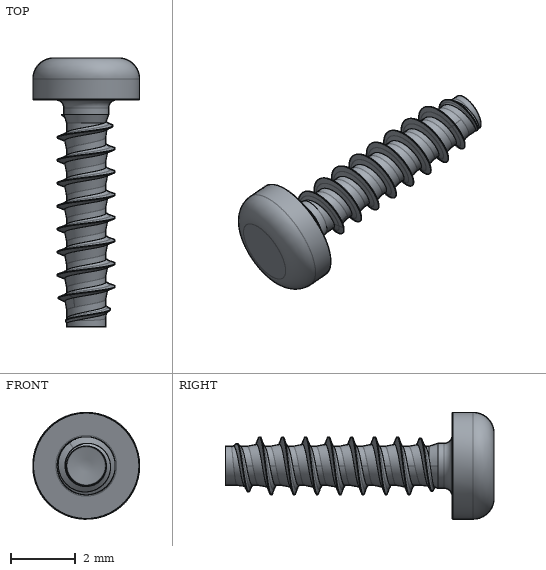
import cadquery as cq
import math


total_length = 8.3
head_height = 1.3
head_radius = 1.65
crown_radius = 0.655
rim_chamfer = 0.025

neck_radius = 0.7
neck_fillet = 0.24
neck_end = 0.44
core_radius = 0.61
core_start = 0.71
tip_dimple_depth = 0.08
tip_dimple_radius = 0.59
shaft_length = total_length - head_height

first_crest_depth = neck_end
turns_to_tip = 9.25
pitch = (shaft_length - first_crest_depth) / turns_to_tip
lead_in_turns = 0.5
lead_in_height = 0.55
full_height_from = 1.0
runout_turns = 1.4
points_per_turn = 24
buried_radius = 0.58
base_radius = 0.5

crest_radius = 0.9
crest_half_width = 0.0125
ridge_section = [
    (-0.14, 0.6),
    (-0.062, 0.74),
    (-crest_half_width, crest_radius),
    (crest_half_width, crest_radius),
    (0.1, 0.66),
    (0.43, 0.6),
]


def make_body():
    """Head, neck and core as one revolved outline of (radius, Y)."""
    slant = math.sqrt(0.5)
    crown_start = head_height - crown_radius
    crown_flat = head_radius - crown_radius
    crown_mid = (crown_flat + crown_radius * slant, crown_start + crown_radius * slant)
    fillet_outer = neck_radius + neck_fillet
    fillet_mid = (fillet_outer - neck_fillet * slant, -neck_fillet + neck_fillet * slant)
    return (
        cq.Workplane("XY")
        .moveTo(0, head_height)
        .lineTo(crown_flat, head_height)
        .threePointArc(crown_mid, (head_radius, crown_start))
        .lineTo(head_radius, rim_chamfer)
        .lineTo(head_radius - rim_chamfer, 0)
        .lineTo(fillet_outer, 0)
        .threePointArc(fillet_mid, (neck_radius, -neck_fillet))
        .lineTo(neck_radius, -neck_end)
        .lineTo(core_radius, -core_start)
        .lineTo(core_radius, -shaft_length)
        .lineTo(0, -shaft_length)
        .close()
        .revolve(360, (0, 0, 0), (0, 1, 0))
    )


def ridge_fade(turn):
    """Share of the full ridge height at a given turn."""
    rise = lead_in_height + (1 - lead_in_height) * turn / full_height_from
    fall = (turns_to_tip - turn) / runout_turns
    return min(1.0, rise, fall)


def ridge_point(turn, offset, radius):
    """Point of the right-handed helix traced by one corner of the ridge."""
    angle = 2 * math.pi * turn
    depth = first_crest_depth + pitch * turn + offset
    return cq.Vector(-radius * math.cos(angle), -depth, -radius * math.sin(angle))


def corner_curve(start, end, offset, radius, fades):
    """Helical edge of one ridge corner between two turns."""
    steps = math.ceil((end - start) * points_per_turn)
    points = []
    for step in range(steps + 1):
        turn = start + (end - start) * step / steps
        fade = ridge_fade(turn) if fades else 1.0
        faded_radius = buried_radius + (radius - buried_radius) * fade
        points.append(ridge_point(turn, offset, faded_radius))
    return cq.Edge.makeSpline(points)


def make_thread():
    """Ridge with its lead-in, full-height and runout stretches, trimmed to the shaft."""
    first_offset = ridge_section[0][0]
    last_offset = ridge_section[-1][0]
    corners = [(offset, radius, True) for offset, radius in ridge_section]
    corners.append((last_offset, base_radius, False))
    corners.append((first_offset, base_radius, False))

    stations = [-lead_in_turns, full_height_from, turns_to_tip - runout_turns, turns_to_tip]
    stretches = []
    for start, end in zip(stations, stations[1:]):
        stretches.append([corner_curve(start, end, *corner) for corner in corners])

    faces = []
    for curves in stretches:
        for curve, following in zip(curves, curves[1:] + curves[:1]):
            faces.append(cq.Face.makeRuledSurface(curve, following))
    start_loop = [curve.startPoint() for curve in stretches[0]]
    end_loop = [curve.endPoint() for curve in stretches[-1]]
    for loop in (start_loop, end_loop):
        faces.append(cq.Face.makeFromWires(cq.Wire.makePolygon(loop, close=True)))
    ridge = cq.Solid.makeSolid(cq.Shell.makeShell(faces))

    threaded_length = shaft_length - neck_end
    threaded_zone = (
        cq.Workplane("XZ", origin=(0, -neck_end, 0))
        .circle(head_radius)
        .extrude(threaded_length)
    )
    return threaded_zone.intersect(cq.Workplane(ridge))


def make_tip_dimple():
    """Shallow cone that hollows the end face of the shaft."""
    cone = cq.Solid.makeCone(
        tip_dimple_radius, 0, tip_dimple_depth, cq.Vector(0, -shaft_length, 0), cq.Vector(0, 1, 0)
    )
    return cq.Workplane(cone)


result = make_body().union(make_thread()).cut(make_tip_dimple())